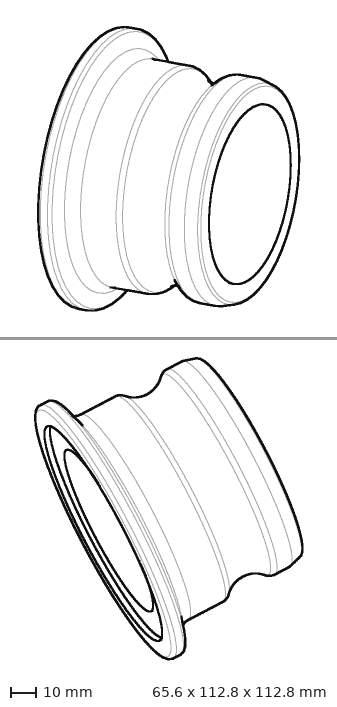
import cadquery as cq
import math

length = 65.6
flange_radius = 112.8 / 2
body_radius = 91.5 / 2
bore_radius = 71.8 / 2

flange_rim_end = 4.7
flange_round = 1.6
flange_back_angle = math.radians(19)
back_end = 8.5
neck_end = 14.0

recess_radius = 95.3 / 2
recess_depth = 2.5

groove_center_x = 41.3
groove_bottom_radius = 40.6
groove_half_width = 11.6
shoulder_round = 3.2

nose_start = 59.7
nose_angle = math.radians(16)
nose_round = 1.1

overlap = 1.1


def on_circle(center, radius, angle):
    """Point on a circle at an angle measured from +X."""
    return (center[0] + radius * math.cos(angle), center[1] + radius * math.sin(angle))


def arc(wire, center, radius, start, end):
    """Add an arc that begins at the current point, at angle start."""
    middle = on_circle(center, radius, (start + end) / 2)
    return wire.threePointArc(middle, on_circle(center, radius, end))


def add_flange(wire):
    """Rounded rim, sloping back and hollow neck."""
    quarter = math.pi / 2
    rim_height = flange_radius - flange_round
    wire = wire.lineTo(0, rim_height)
    wire = arc(wire, (flange_round, rim_height), flange_round, math.pi, quarter)
    wire = wire.lineTo(flange_rim_end, flange_radius)
    wire = arc(wire, (flange_rim_end, rim_height), flange_round, quarter, flange_back_angle)

    back_start = on_circle((flange_rim_end, rim_height), flange_round, flange_back_angle)
    back_end_height = back_start[1] - (back_end - back_start[0]) / math.tan(flange_back_angle)
    wire = wire.lineTo(back_end, back_end_height)

    neck_length = neck_end - back_end
    neck_rise = back_end_height - body_radius
    neck_round = (neck_length**2 + neck_rise**2) / (2 * neck_rise)
    neck_start_angle = math.pi + math.acos(neck_length / neck_round)
    return arc(wire, (neck_end, body_radius + neck_round), neck_round, neck_start_angle, 3 * quarter)


def add_groove(wire):
    """Round groove joined tangentially to the body by two rounded shoulders."""
    quarter = math.pi / 2
    depth = body_radius - groove_bottom_radius
    center_distance = (groove_half_width**2 + depth**2) / (2 * depth)
    groove_round = center_distance - shoulder_round
    tangent_angle = math.acos(groove_half_width / center_distance)

    first_x = groove_center_x - groove_half_width
    last_x = groove_center_x + groove_half_width
    shoulder_height = body_radius - shoulder_round
    groove_center = (groove_center_x, groove_bottom_radius + groove_round)
    wire = wire.lineTo(first_x, body_radius)
    wire = arc(wire, (first_x, shoulder_height), shoulder_round, quarter, tangent_angle)
    wire = arc(wire, groove_center, groove_round, math.pi + tangent_angle, 2 * math.pi - tangent_angle)
    return arc(wire, (last_x, shoulder_height), shoulder_round, math.pi - tangent_angle, quarter)


def add_nose(wire):
    """Tapered lead-in with a rounded end edge."""
    tangent_x = length - nose_round * (1 - math.sin(nose_angle))
    tangent_height = body_radius - (tangent_x - nose_start) * math.tan(nose_angle)
    round_center = (length - nose_round, tangent_height - nose_round * math.cos(nose_angle))
    wire = wire.lineTo(nose_start, body_radius)
    wire = wire.lineTo(tangent_x, tangent_height)
    return arc(wire, round_center, nose_round, math.pi / 2 - nose_angle, 0)


def make_outer_body():
    """Solid body turned from the half profile above the axis."""
    wire = cq.Workplane("XY").moveTo(0, 0)
    wire = add_flange(wire)
    wire = add_groove(wire)
    wire = add_nose(wire)
    profile = wire.lineTo(length, 0).close()
    return profile.revolve(360, (0, 0, 0), (1, 0, 0))


def make_cylinder(radius, start, end):
    """Cylinder on the X axis."""
    return cq.Workplane("YZ", origin=(start, 0, 0)).circle(radius).extrude(end - start)


bore = make_cylinder(bore_radius, -overlap, length + overlap)
recess = make_cylinder(recess_radius, -overlap, recess_depth)
result = make_outer_body().cut(bore).cut(recess)